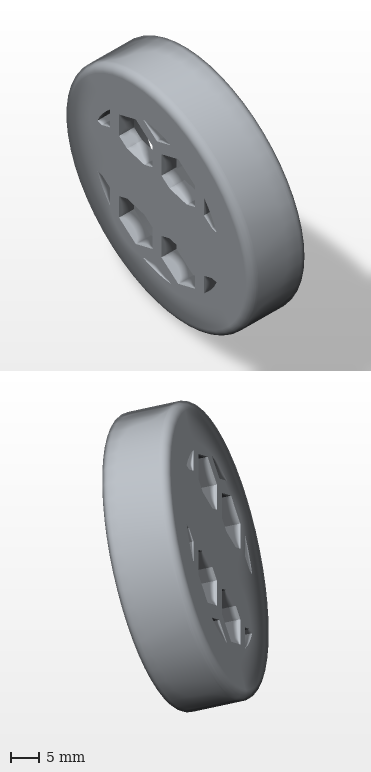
import cadquery as cq
import math

outer_diameter = 54.0
width = 12.7
edge_fillet = 1.6
bore_diameter = 41.0
web_thickness = 3.35

cell_flats = 9.55
cell_gap = 2.6
pattern_diameter = 36.5
bar_height = 12.85

front_y = -width / 2
cell_diameter = cell_flats * 2 / math.sqrt(3)
cell_pitch = cell_flats + cell_gap
row_pitch = cell_pitch * math.sqrt(3) / 2


def face_plane(distance):
    """Sketch plane a given distance behind the front face; extrusions run toward -Y."""
    return cq.Workplane("XZ", origin=(0, front_y + distance, 0))


def hex_prism(x, z, start, length):
    """Hexagon with vertices at its top and bottom, running from start toward +Y."""
    hexagon = face_plane(start).center(x, z).transformed(rotate=(0, 0, 90))
    return hexagon.polygon(6, cell_diameter).extrude(-length)


def make_cup():
    """Disc with both outer edges rounded and a round recess open at the back."""
    disc = face_plane(0).circle(outer_diameter / 2).extrude(-width)
    disc = disc.edges("%CIRCLE").fillet(edge_fillet)
    recess = face_plane(web_thickness).circle(bore_diameter / 2).extrude(web_thickness - width)
    return disc.cut(recess)


def make_cutouts():
    """Honeycomb clipped to a circle, leaving a solid bar across the middle."""
    cell_centers = []
    for side in (-1, 1):
        for column in (-1.5, -0.5, 0.5, 1.5):
            cell_centers.append((column * cell_pitch, side * row_pitch))
        cell_centers.append((0, 2 * side * row_pitch))

    cells = cq.Workplane()
    for x, z in cell_centers:
        cells = cells.add(hex_prism(x, z, 0, web_thickness))
    cells = cells.combine()

    clip = face_plane(0).circle(pattern_diameter / 2).extrude(-web_thickness)
    bar = face_plane(0).rect(pattern_diameter, bar_height).extrude(-web_thickness)
    return cells.intersect(clip.cut(bar))


hub = hex_prism(0, 0, web_thickness, width - web_thickness)

result = make_cup().union(hub).cut(make_cutouts())